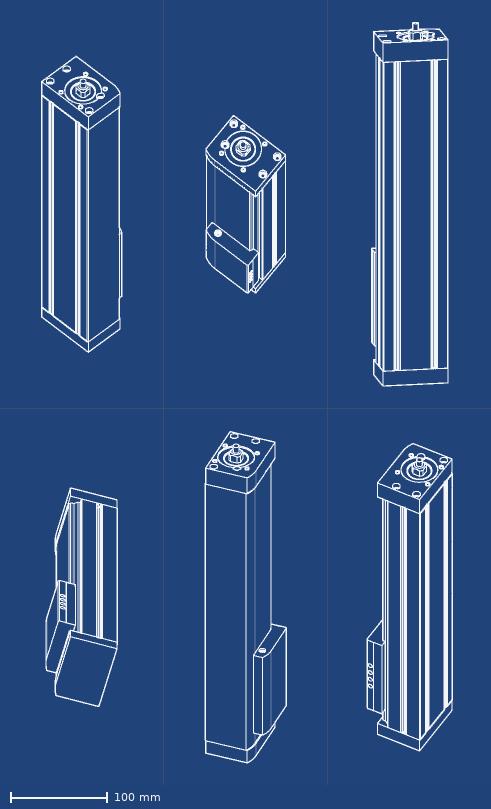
import cadquery as cq
import math

WIDTH = 69.0
TOTAL_HEIGHT = 382.0
CARRIAGE_BACK = 64.0
BLOCK_BACK = 51.0
BLOCK_FRONT = 0.8
LOWER_BLOCK_HEIGHT = 16.0
UPPER_BLOCK_BOTTOM = 347.2
UPPER_BLOCK_TOP = 368.0
SHOULDER_RUN = 14.5
SHOULDER_DROP = 4.0

SHAFT_X = 39.0
SHAFT_Y = 23.0
SEAT_DEPTH = 2.5
SEAT_STEPS = [(38.2, 1.5), (26.0, 2.3), (24.5, SEAT_DEPTH)]
FLANGE_HOLE_STEPS = [(4.5, 0.8), (3.25, 7.5)]
FLANGE_HALF_X = 14.5
FLANGE_HALF_Y = 18.0
BOLT_HOLE_STEPS = [(8.0, 6.0), (6.0, 7.0), (4.2, UPPER_BLOCK_TOP - UPPER_BLOCK_BOTTOM)]
BOLT_INSET_X = 5.7
BOLT_LOW_Y = 7.5
BOLT_CENTRES = [
    (BOLT_INSET_X, BOLT_LOW_Y),
    (WIDTH - BOLT_INSET_X, BOLT_LOW_Y),
    (BOLT_INSET_X, 31.7),
    (56.5, 31.0),
]

RAIL_BACK = 50.0
RAIL_CORNER = 0.8
RAIL_STEP_Y = 39.5
RAIL_STEP_X = 4.5
RAIL_STEP_CHAMFER = 0.8
RAIL_SLOPE_START = 41.5
RAIL_SLOPE_END = 45.5
RAIL_NECK_X = 7.3
RAIL_LIP = [(RAIL_NECK_X, 47.5), (7.5, 49.0), (8.8, RAIL_BACK)]
SLOT_MOUTH_HALF_WIDTH = 3.5
SLOT_LEDGE_HALF_WIDTH = 2.3
SLOT_THROAT_HALF_WIDTH = 1.0
SLOT_MOUTH_DEPTH = 0.5
SLOT_DEPTH = 5.0
FRONT_SLOT_INSET = 15.0
SIDE_SLOT_Y = 20.0

CARRIAGE_WIDTH = 58.5
CARRIAGE_BOTTOM = 32.0
CARRIAGE_HEIGHT = 100.0
SKIRT_FRONT = 46.0
PANEL_FRONT = 55.8
PANEL_STEP = 0.2
CARRIAGE_CHAMFER = 1.0
PORT_DIAMETER = 5.0
PORT_DEPTH = 5.7
PORT_Y = 59.5
PORT_PITCH = 10.0
PORT_COUNT = 4
LOWEST_PORT_Z = 66.5
END_HOLE_STEPS = [(7.0, 2.3), (5.0, 3.0), (3.25, 7.5)]
END_HOLE_X = 46.5
END_HOLE_Y = 55.5

SHAFT_DIAMETER = 6.0
COLLAR_WIDTH = 13.0
COLLAR_CORNER = 2.5
COLLAR_TOP = 374.7
COLLAR_TOP_DIAMETER = 10.7
COLLAR_BEVEL_ANGLE = 45


def shoulder(outline, right, back):
    """Continue an outline along its back edge and round the +X shoulder with a tangent arc."""
    radius = (SHOULDER_RUN ** 2 + SHOULDER_DROP ** 2) / (2 * SHOULDER_DROP)
    half_angle = math.asin(SHOULDER_RUN / radius) / 2
    start_x = right - SHOULDER_RUN
    middle = (start_x + radius * math.sin(half_angle), back - radius * (1 - math.cos(half_angle)))
    return outline.lineTo(start_x, back).threePointArc(middle, (right, back - SHOULDER_DROP))


def end_block(bottom, top):
    outline = cq.Workplane("XY", origin=(0, 0, bottom)).moveTo(0, BLOCK_FRONT).lineTo(0, BLOCK_BACK)
    outline = shoulder(outline, WIDTH, BLOCK_BACK).lineTo(WIDTH, BLOCK_FRONT)
    return outline.close().extrude(top - bottom)


def cylinder_below(x, y, top, diameter, depth):
    return cq.Workplane("XY", origin=(x, y, top - depth)).circle(diameter / 2).extrude(depth)


def cut_stepped_bore(body, x, y, top, steps):
    for diameter, depth in steps:
        body = body.cut(cylinder_below(x, y, top, diameter, depth))
    return body


def make_upper_block():
    block = end_block(UPPER_BLOCK_BOTTOM, UPPER_BLOCK_TOP)
    block = cut_stepped_bore(block, SHAFT_X, SHAFT_Y, UPPER_BLOCK_TOP, SEAT_STEPS)
    for x in (SHAFT_X - FLANGE_HALF_X, SHAFT_X + FLANGE_HALF_X):
        for y in (SHAFT_Y - FLANGE_HALF_Y, SHAFT_Y + FLANGE_HALF_Y):
            block = cut_stepped_bore(block, x, y, UPPER_BLOCK_TOP, FLANGE_HOLE_STEPS)
    for x, y in BOLT_CENTRES:
        block = cut_stepped_bore(block, x, y, UPPER_BLOCK_TOP, BOLT_HOLE_STEPS)
    return block


def stepped_slot(height):
    """Slot cutter along Z, open on the plane y = 0 and running toward +Y."""
    half = [
        (SLOT_MOUTH_HALF_WIDTH, 0),
        (SLOT_LEDGE_HALF_WIDTH, SLOT_MOUTH_DEPTH),
        (SLOT_THROAT_HALF_WIDTH, SLOT_MOUTH_DEPTH),
        (SLOT_THROAT_HALF_WIDTH, SLOT_DEPTH),
    ]
    other_half = [(-x, y) for x, y in reversed(half)]
    return cq.Workplane("XY").polyline(half + other_half).close().extrude(height)


def make_rail():
    bottom = LOWER_BLOCK_HEIGHT
    height = UPPER_BLOCK_BOTTOM - bottom
    outline = (
        cq.Workplane("XY", origin=(0, 0, bottom))
        .moveTo(RAIL_CORNER, 0)
        .lineTo(0, RAIL_CORNER)
        .lineTo(0, RAIL_STEP_Y - RAIL_STEP_CHAMFER)
        .lineTo(RAIL_STEP_CHAMFER, RAIL_STEP_Y)
        .lineTo(RAIL_STEP_X, RAIL_STEP_Y)
        .lineTo(RAIL_STEP_X, RAIL_SLOPE_START)
        .lineTo(RAIL_NECK_X, RAIL_SLOPE_END)
    )
    for x, y in RAIL_LIP:
        outline = outline.lineTo(x, y)
    outline = shoulder(outline, WIDTH, RAIL_BACK).lineTo(WIDTH, RAIL_CORNER).lineTo(WIDTH - RAIL_CORNER, 0)
    rail = outline.close().extrude(height)
    slot = stepped_slot(height)
    for x in (FRONT_SLOT_INSET, WIDTH - FRONT_SLOT_INSET):
        rail = rail.cut(slot.translate((x, 0, bottom)))
    side_slot = slot.rotate((0, 0, 0), (0, 0, 1), -90)
    return rail.cut(side_slot.translate((0, SIDE_SLOT_Y, bottom)))


def make_carriage():
    """The -X skirt and underside follow the lip of the rail, so the carriage rides against it."""
    outline = cq.Workplane("XY", origin=(0, 0, CARRIAGE_BOTTOM)).moveTo(*RAIL_LIP[-1])
    for x, y in reversed(RAIL_LIP[:-1]):
        outline = outline.lineTo(x, y)
    outline = (
        outline.lineTo(RAIL_NECK_X, SKIRT_FRONT)
        .lineTo(PANEL_STEP, SKIRT_FRONT)
        .lineTo(PANEL_STEP, PANEL_FRONT)
        .lineTo(0, PANEL_FRONT)
        .lineTo(0, CARRIAGE_BACK - CARRIAGE_CHAMFER)
        .lineTo(CARRIAGE_CHAMFER, CARRIAGE_BACK)
    )
    outline = shoulder(outline, CARRIAGE_WIDTH, CARRIAGE_BACK).lineTo(CARRIAGE_WIDTH, RAIL_BACK)
    carriage = outline.close().extrude(CARRIAGE_HEIGHT)
    for index in range(PORT_COUNT):
        z = LOWEST_PORT_Z + index * PORT_PITCH
        port = cq.Workplane("YZ", origin=(0, PORT_Y, z)).circle(PORT_DIAMETER / 2).extrude(PORT_DEPTH)
        carriage = carriage.cut(port)
    top = CARRIAGE_BOTTOM + CARRIAGE_HEIGHT
    return cut_stepped_bore(carriage, END_HOLE_X, END_HOLE_Y, top, END_HOLE_STEPS)


def make_shaft():
    base = UPPER_BLOCK_TOP - SEAT_DEPTH
    collar_height = COLLAR_TOP - base
    collar = (
        cq.Workplane("XY", origin=(SHAFT_X, SHAFT_Y, base))
        .rect(COLLAR_WIDTH, COLLAR_WIDTH)
        .extrude(collar_height)
        .edges("|Z")
        .chamfer(COLLAR_CORNER)
    )
    bevel_cone = (
        cq.Workplane("XY", origin=(SHAFT_X, SHAFT_Y, base))
        .circle(COLLAR_TOP_DIAMETER / 2 + collar_height * math.tan(math.radians(COLLAR_BEVEL_ANGLE)))
        .extrude(collar_height, taper=COLLAR_BEVEL_ANGLE)
    )
    journal = cylinder_below(SHAFT_X, SHAFT_Y, TOTAL_HEIGHT, SHAFT_DIAMETER, TOTAL_HEIGHT - base)
    return collar.intersect(bevel_cone).union(journal)


lower_block = end_block(0, LOWER_BLOCK_HEIGHT)
upper_block = make_upper_block()
rail = make_rail()
carriage = make_carriage()
shaft = make_shaft()

result = cq.Compound.makeCompound(
    [lower_block.val(), upper_block.val(), rail.val(), carriage.val(), shaft.val()]
)